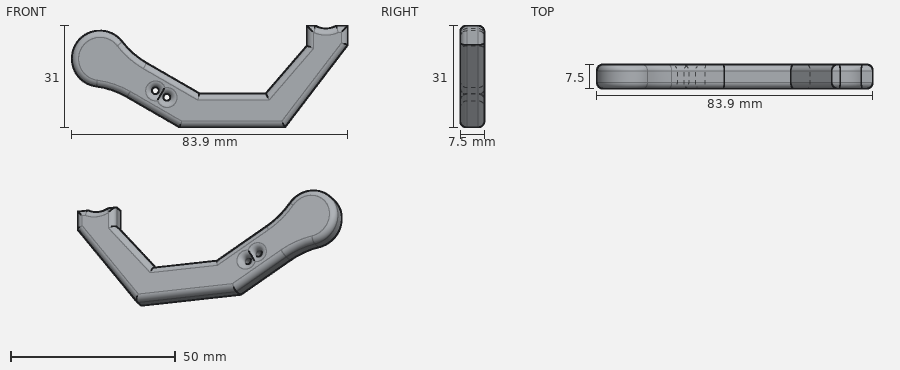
import cadquery as cq
import math

length = 83.9
height = 31.0
thickness = 7.5
edge_radius = 2.0

head_radius = 8.6
blend_radius = 25.0
arm_width = 12.0
arm_slope = math.radians(30)
arm_bottom_x = 32.8

bridge_height = 10.4
bridge_top_end_x = 59.0
bridge_bottom_end_x = 64.8

tip_width = 12.5
tip_inner_z = 24.8
tip_outer_z = 25.1
saddle_width = 6.4
saddle_depth = 0.8
saddle_center_x = 77.2

hole_diameter = 2.0
hole_spacing = 4.0
first_hole_from_head = 19.5

along = cq.Vector(math.cos(arm_slope), -math.sin(arm_slope))
across = cq.Vector(math.sin(arm_slope), math.cos(arm_slope))

arm_bottom_end = cq.Vector(arm_bottom_x, 0)
bend_center = arm_bottom_end + across * (arm_width / 2)
head_center = cq.Vector(head_radius, bend_center.y + (bend_center.x - head_radius) * math.tan(arm_slope))


def arm_point(distance, offset=0):
    """Point at a distance from the head along the arm, offset across it."""
    return head_center + along * distance + across * offset


def blend_points(side):
    """Start, middle and end of the concave blend from head to arm; side is +1 above, -1 below."""
    center_offset = arm_width / 2 + blend_radius
    center_distance = math.sqrt((head_radius + blend_radius) ** 2 - center_offset**2)
    center = arm_point(center_distance, side * center_offset)
    head_end = head_center + (center - head_center).normalized() * head_radius
    arm_end = arm_point(center_distance, side * arm_width / 2)
    middle_direction = ((head_end - center) + (arm_end - center)).normalized()
    return head_end, center + middle_direction * blend_radius, arm_end


def xz(point):
    return point.x, point.y


def make_body():
    upper_head, upper_middle, upper_arm = blend_points(1)
    lower_head, lower_middle, lower_arm = blend_points(-1)
    head_far_side = arm_point(-head_radius)

    upper_edge_rise = upper_arm.y - bridge_height
    bridge_top_start_x = upper_arm.x + upper_edge_rise / math.tan(arm_slope)

    outline = (
        cq.Workplane("XZ")
        .moveTo(*xz(upper_head))
        .threePointArc(xz(upper_middle), xz(upper_arm))
        .lineTo(bridge_top_start_x, bridge_height)
        .lineTo(bridge_top_end_x, bridge_height)
        .lineTo(length - tip_width, tip_inner_z)
        .lineTo(length - tip_width, height)
        .lineTo(saddle_center_x - saddle_width / 2, height)
        .threePointArc(
            (saddle_center_x, height - saddle_depth),
            (saddle_center_x + saddle_width / 2, height),
        )
        .lineTo(length, height)
        .lineTo(length, tip_outer_z)
        .lineTo(bridge_bottom_end_x, 0)
        .lineTo(*xz(arm_bottom_end))
        .lineTo(*xz(lower_arm))
        .threePointArc(xz(lower_middle), xz(lower_head))
        .threePointArc(xz(head_far_side), xz(upper_head))
        .close()
    )
    return outline.extrude(thickness / 2, both=True).faces("<Y or >Y").edges().fillet(edge_radius)


def make_hole_cutter(center):
    """Through hole whose rims flare out with a quarter-round at both faces."""
    bore = hole_diameter / 2
    flare = bore + edge_radius
    half = thickness / 2
    bow = edge_radius * (1 - math.sqrt(0.5))
    straight_end = half - edge_radius
    cutter = (
        cq.Workplane("XY")
        .moveTo(0, -half)
        .lineTo(flare, -half)
        .threePointArc((bore + bow, bow - half), (bore, -straight_end))
        .lineTo(bore, straight_end)
        .threePointArc((bore + bow, half - bow), (flare, half))
        .lineTo(0, half)
        .close()
        .revolve(360, (0, 0, 0), (0, 1, 0))
    )
    return cutter.translate((center.x, 0, center.y))


result = make_body()
for hole_index in range(2):
    hole_center = arm_point(first_hole_from_head + hole_index * hole_spacing)
    result = result.cut(make_hole_cutter(hole_center))